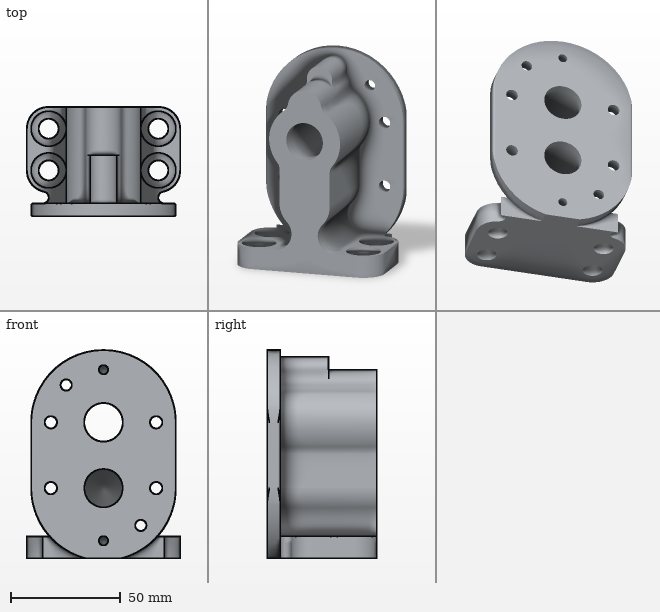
import cadquery as cq
import math

total_depth = 50.0
flange_thickness = 6.0
body_length = total_depth - flange_thickness

upper_axis_z = 62.0
lower_axis_z = 32.0

flange_radius = 33.0
flange_top_z = upper_axis_z + flange_radius
side_edge_fillet = 1.0

upper_barrel_radius = 17.0
lower_barrel_radius = 12.0
crest_radius = 8.0
crest_axis_z = 78.0
crest_fillet = 6.0
neck_fillet = 5.0
root_fillet = 8.0

boss_radius = 6.0
boss_axis_z = 86.0
boss_length = 22.0
boss_fillet = 6.0

foot_half_width = 35.0
foot_height = 10.0
foot_corner_radius = 10.0
foot_hole_spacing_y = 19.0
foot_hole_x = foot_half_width - foot_corner_radius
foot_back_hole_y = total_depth - foot_corner_radius
foot_front_hole_y = foot_back_hole_y - foot_hole_spacing_y
foot_hole_diameter = 9.0
spotface_diameter = 16.0
spotface_depth = 2.0

bore_diameter = 17.5
lower_bore_depth = 38.0
screw_hole_diameter = 5.5
screw_hole_x = 24.0
dowel_diameter = 5.0
dowel_offset = 17.0
tapped_hole_diameter = 4.2
tapped_hole_depth = 15.0
lower_tapped_z = lower_axis_z + upper_axis_z - boss_axis_z
drill_half_angle = math.radians(59.0)


def point_towards(start, end, distance):
    """Point at the given distance from start on the line to end."""
    length = math.dist(start, end)
    return (
        start[0] + (end[0] - start[0]) * distance / length,
        start[1] + (end[1] - start[1]) * distance / length,
    )


def arc_middle(center, radius, start, end):
    """Point halfway along the short arc from start to end."""
    chord_middle = ((start[0] + end[0]) / 2, (start[1] + end[1]) / 2)
    return point_towards(center, chord_middle, radius)


def arc_to(sketch, center, radius, start, end):
    return sketch.threePointArc(arc_middle(center, radius, start, end), end)


def fillet_center(top_z, top_radius, bottom_z, bottom_radius, fillet):
    """Centre, on the +X side, of a fillet touching two circles centred on X = 0."""
    top_reach = top_radius + fillet
    bottom_reach = bottom_radius + fillet
    spacing = top_z - bottom_z
    rise = (bottom_reach**2 - top_reach**2 + spacing**2) / (2 * spacing)
    return (math.sqrt(bottom_reach**2 - rise**2), bottom_z + rise)


def behind_flange(offset_z=0.0):
    return cq.Workplane("XZ", origin=(0, flange_thickness, offset_z))


def both_halves(half):
    return half.union(half.mirror("YZ"))


def make_flange():
    """Round-ended plate, flat at the foot, with rounded straight side edges."""
    slab = (
        cq.Workplane("XY")
        .box(2 * flange_radius, flange_thickness, flange_top_z, centered=(True, False, False))
        .edges("|Z")
        .fillet(side_edge_fillet)
    )
    outline = (
        cq.Workplane("XZ", origin=(0, 0, (upper_axis_z + lower_axis_z) / 2))
        .slot2D(upper_axis_z - lower_axis_z + 2 * flange_radius, 2 * flange_radius, 90)
        .extrude(-flange_thickness)
    )
    return slab.intersect(outline)


def make_housing():
    """Constant section along Y: crest, upper barrel, neck, lower barrel and flared root."""
    crest = (0, crest_axis_z)
    upper = (0, upper_axis_z)
    lower = (0, lower_axis_z)

    crest_blend = fillet_center(crest_axis_z, crest_radius, upper_axis_z, upper_barrel_radius, crest_fillet)
    neck_x = lower_barrel_radius + neck_fillet
    neck_drop = math.sqrt((upper_barrel_radius + neck_fillet) ** 2 - neck_x**2)
    neck_blend = (neck_x, upper_axis_z - neck_drop)
    root_z = foot_height + root_fillet
    root_x = math.sqrt((lower_barrel_radius + root_fillet) ** 2 - (lower_axis_z - root_z) ** 2)
    root_blend = (root_x, root_z)

    crest_top = (0, crest_axis_z + crest_radius)
    crest_end = point_towards(crest, crest_blend, crest_radius)
    barrel_start = point_towards(upper, crest_blend, upper_barrel_radius)
    barrel_end = point_towards(upper, neck_blend, upper_barrel_radius)
    neck_top = (lower_barrel_radius, neck_blend[1])
    neck_bottom = (lower_barrel_radius, lower_axis_z)
    lower_end = point_towards(lower, root_blend, lower_barrel_radius)
    root_end = (root_x, foot_height)

    outline = behind_flange().moveTo(*crest_top)
    outline = arc_to(outline, crest, crest_radius, crest_top, crest_end)
    outline = arc_to(outline, crest_blend, crest_fillet, crest_end, barrel_start)
    outline = arc_to(outline, upper, upper_barrel_radius, barrel_start, barrel_end)
    outline = arc_to(outline, neck_blend, neck_fillet, barrel_end, neck_top)
    outline = outline.lineTo(*neck_bottom)
    outline = arc_to(outline, lower, lower_barrel_radius, neck_bottom, lower_end)
    outline = arc_to(outline, root_blend, root_fillet, lower_end, root_end)
    outline = outline.lineTo(root_x, 0).lineTo(0, 0).close()
    return both_halves(outline.extrude(-body_length))


def make_boss():
    """Short rounded boss blended into the crest of the housing."""
    boss = (0, boss_axis_z)
    crest = (0, crest_axis_z)
    blend = fillet_center(boss_axis_z, boss_radius, crest_axis_z, crest_radius, boss_fillet)

    top = (0, boss_axis_z + boss_radius)
    boss_end = point_towards(boss, blend, boss_radius)
    crest_touch = point_towards(crest, blend, crest_radius)

    outline = behind_flange().moveTo(*top)
    outline = arc_to(outline, boss, boss_radius, top, boss_end)
    outline = arc_to(outline, blend, boss_fillet, boss_end, crest_touch)
    outline = outline.lineTo(*crest).close()
    return both_halves(outline.extrude(-boss_length))


def make_foot():
    """Foot with round corners and a round relief on each side next to the flange."""
    front_y = flange_thickness
    pad_center = (foot_hole_x, foot_front_hole_y)
    pad_gap = foot_front_hole_y - front_y

    half_sum = pad_gap + foot_corner_radius
    relief_radius = half_sum - math.sqrt(half_sum**2 - pad_gap**2 + foot_corner_radius**2)
    relief_center = (foot_hole_x + relief_radius, front_y + relief_radius)

    relief_start = (relief_center[0], front_y)
    relief_side = (foot_hole_x, relief_center[1])
    relief_end = point_towards(pad_center, relief_center, foot_corner_radius)
    pad_side = (foot_half_width, foot_front_hole_y)
    back_side = (foot_half_width, foot_back_hole_y)
    back_end = (foot_hole_x, total_depth)

    outline = cq.Workplane("XY").moveTo(0, front_y).lineTo(*relief_start)
    outline = outline.threePointArc(relief_side, relief_end)
    outline = arc_to(outline, pad_center, foot_corner_radius, relief_end, pad_side)
    outline = outline.lineTo(*back_side)
    outline = arc_to(outline, (foot_hole_x, foot_back_hole_y), foot_corner_radius, back_side, back_end)
    outline = outline.lineTo(0, total_depth).close()
    return both_halves(outline.extrude(foot_height))


def through_hole(x, z, diameter, depth):
    """Cylinder entering the front face of the flange."""
    return cq.Workplane("XZ", origin=(x, 0, z)).circle(diameter / 2).extrude(-depth)


def drilled_hole(z, diameter, depth):
    """Blind hole on X = 0 with a drill-point end; depth is to the full diameter."""
    radius = diameter / 2
    tip_depth = depth + radius / math.tan(drill_half_angle)
    half_section = cq.Workplane("XY", origin=(0, 0, z)).polyline(
        [(0, 0), (radius, 0), (radius, depth), (0, tip_depth)]
    )
    return half_section.close().revolve(360, (0, 0, 0), (0, 1, 0))


def cut_face_holes(part):
    part = part.cut(through_hole(0, upper_axis_z, bore_diameter, total_depth))
    part = part.cut(drilled_hole(lower_axis_z, bore_diameter, lower_bore_depth))
    for side in (-1, 1):
        for z in (lower_axis_z, upper_axis_z):
            part = part.cut(through_hole(side * screw_hole_x, z, screw_hole_diameter, flange_thickness))
    dowel_places = (
        (-dowel_offset, upper_axis_z + dowel_offset),
        (dowel_offset, lower_axis_z - dowel_offset),
    )
    for x, z in dowel_places:
        part = part.cut(through_hole(x, z, dowel_diameter, flange_thickness))
    for z in (boss_axis_z, lower_tapped_z):
        part = part.cut(drilled_hole(z, tapped_hole_diameter, tapped_hole_depth))
    return part


def cut_foot_holes(part):
    places = [
        (side * foot_hole_x, y)
        for side in (-1, 1)
        for y in (foot_front_hole_y, foot_back_hole_y)
    ]
    holes = cq.Workplane("XY").pushPoints(places).circle(foot_hole_diameter / 2).extrude(foot_height)
    spotfaces = (
        cq.Workplane("XY", origin=(0, 0, foot_height - spotface_depth))
        .pushPoints(places)
        .circle(spotface_diameter / 2)
        .extrude(spotface_depth)
    )
    return part.cut(holes).cut(spotfaces)


housing = make_flange().union(make_housing()).union(make_boss()).union(make_foot())
result = cut_foot_holes(cut_face_holes(housing))